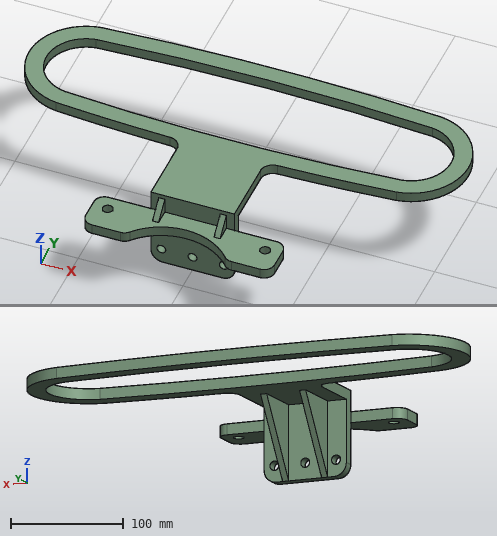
import cadquery as cq

length = 419.0
height = 79.0
thickness = 10.0
tab_corner_radius = 10.0
neck_corner_radius = 11.7
select_margin = 0.5

ring_half_depth = 60.5
ring_corner_x = 162.0
ring_rear_corner_y = 54.5
ring_front_corner_y = -53.5
ring_band = 16.8

neck_width = 79.5
front_y = -134.0
plate_back_y = front_y + thickness
plate_hole_diameter = 8.5
plate_hole_pitch = 29.7
plate_hole_z = -64.0

tab_width = 180.0
tab_depth = 40.0
tab_top_z = -19.3
tab_hole_diameter = 9.5
tab_hole_x = 75.0
tab_hole_y = -148.5
notch_radius = 60.0
notch_top_y = -149.5

rib_thickness = 6.0
rib_x = 29.5
rib_reach = 15.0
gusset_thickness = 6.0
gusset_x = 19.0
gusset_reach = 58.5


def ring_outline():
    x = ring_corner_x
    rear = ring_rear_corner_y
    front = ring_front_corner_y
    return (
        cq.Workplane("XY")
        .moveTo(-x, rear)
        .threePointArc((0, ring_half_depth), (x, rear))
        .threePointArc((length / 2, 0), (x, front))
        .threePointArc((0, -ring_half_depth), (-x, front))
        .threePointArc((-length / 2, 0), (-x, rear))
        .close()
    )


def make_ring_and_neck():
    neck = cq.Workplane("XY").box(neck_width, -front_y, thickness, centered=(True, False, False))
    neck = neck.translate((0, front_y, -thickness))
    body = ring_outline().extrude(-thickness).union(neck)
    half_neck = neck_width / 2
    junction = cq.selectors.BoxSelector(
        (-half_neck - select_margin, -ring_half_depth - select_margin, -thickness),
        (half_neck + select_margin, ring_front_corner_y, 0),
    )
    body = body.edges("|Z").edges(junction).fillet(neck_corner_radius)
    opening = ring_outline().offset2D(-ring_band).extrude(-thickness)
    return body.cut(opening)


def make_plate():
    plate = cq.Workplane("XY").box(neck_width, thickness, height, centered=(True, False, False))
    plate = plate.translate((0, front_y, -height))
    plate = plate.edges("|Y and <Z").fillet(neck_corner_radius)
    holes = (
        cq.Workplane("XZ", origin=(0, front_y, 0))
        .pushPoints([(i * plate_hole_pitch, plate_hole_z) for i in (-1, 0, 1)])
        .circle(plate_hole_diameter / 2)
        .extrude(-thickness)
    )
    return plate.cut(holes)


def make_tab():
    tab = cq.Workplane("XY").box(tab_width, tab_depth, thickness, centered=(True, False, False))
    tab = tab.translate((0, front_y - tab_depth, tab_top_z - thickness))
    tab = tab.edges("|Z").fillet(tab_corner_radius)
    notch = cq.Workplane("XY", origin=(0, notch_top_y - notch_radius, tab_top_z))
    notch = notch.circle(notch_radius).extrude(-thickness)
    tab = tab.cut(notch)
    notch_mouth = cq.selectors.BoxSelector(
        (-notch_radius, front_y - tab_depth - select_margin, tab_top_z - thickness),
        (notch_radius, front_y - tab_depth + select_margin, tab_top_z),
    )
    tab = tab.edges("|Z").edges(notch_mouth).fillet(tab_corner_radius)
    holes = (
        cq.Workplane("XY", origin=(0, 0, tab_top_z))
        .pushPoints([(-tab_hole_x, tab_hole_y), (tab_hole_x, tab_hole_y)])
        .circle(tab_hole_diameter / 2)
        .extrude(-thickness)
    )
    return tab.cut(holes)


def make_rib(center_x, width, yz_points):
    """Triangular web of the given width, centred on center_x."""
    profile = cq.Workplane("YZ", origin=(center_x, 0, 0)).polyline(yz_points).close()
    return profile.extrude(width / 2, both=True)


front_rib = [
    (front_y, tab_top_z),
    (front_y, tab_top_z + rib_reach),
    (front_y - rib_reach, tab_top_z),
]
rear_gusset = [
    (plate_back_y, -thickness),
    (plate_back_y, -height),
    (front_y + gusset_reach, -thickness),
]

result = make_ring_and_neck().union(make_plate()).union(make_tab())
for side in (-1, 1):
    result = result.union(make_rib(side * rib_x, rib_thickness, front_rib))
    result = result.union(make_rib(side * gusset_x, gusset_thickness, rear_gusset))